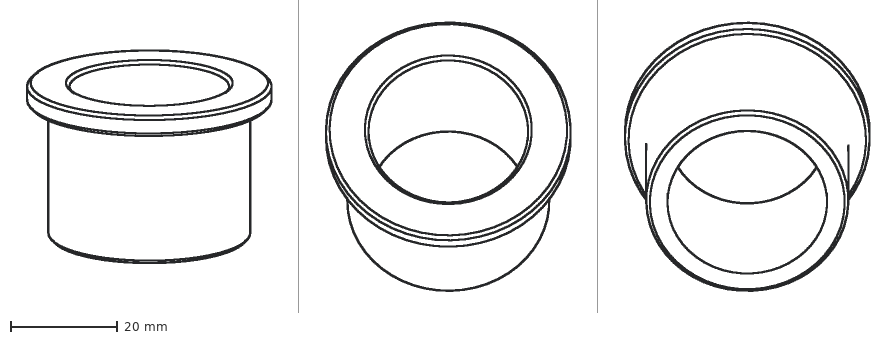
import cadquery as cq

flange_diameter = 46.0
body_diameter = 38.0
bore_diameter = 30.0
total_height = 30.0
flange_thickness = 4.0

edge_chamfer = 0.7
neck_fillet = 0.8

flange_radius = flange_diameter / 2
body_radius = body_diameter / 2
bore_radius = bore_diameter / 2
flange_bottom = total_height - flange_thickness

half_section = (
    cq.Workplane("XZ")
    .moveTo(bore_radius, 0)
    .lineTo(body_radius - edge_chamfer, 0)
    .lineTo(body_radius, edge_chamfer)
    .lineTo(body_radius, flange_bottom - neck_fillet)
    .radiusArc((body_radius + neck_fillet, flange_bottom), neck_fillet)
    .lineTo(flange_radius - edge_chamfer, flange_bottom)
    .lineTo(flange_radius, flange_bottom + edge_chamfer)
    .lineTo(flange_radius, total_height - edge_chamfer)
    .lineTo(flange_radius - edge_chamfer, total_height)
    .lineTo(bore_radius + edge_chamfer, total_height)
    .lineTo(bore_radius, total_height - edge_chamfer)
    .close()
)

result = half_section.revolve(360, (0, 0, 0), (0, 1, 0))